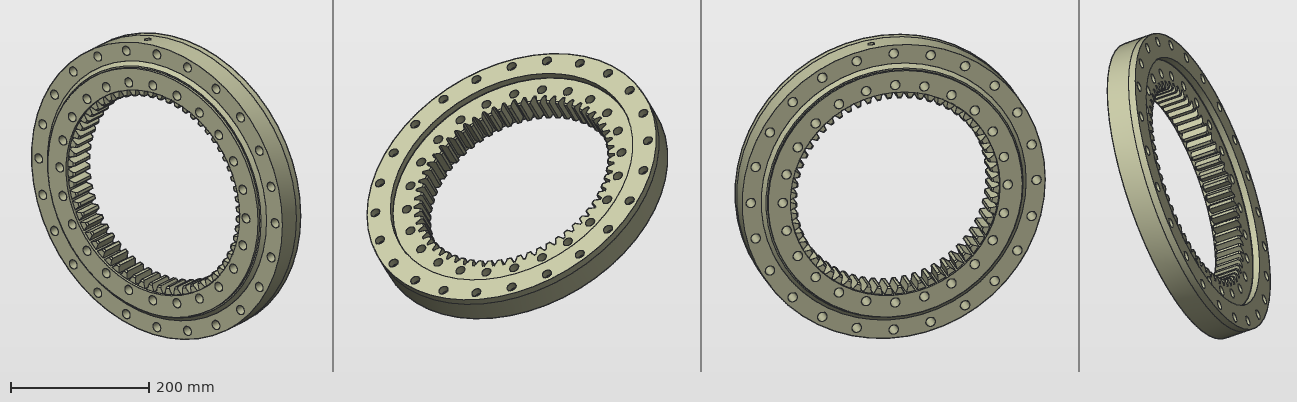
import cadquery as cq
import math


outer_diameter = 451.0
total_width = 55.0

ring_width = 45.0
rear_ring_width = 11.0
inner_ring_radius = 189.0

front_y = -total_width / 2
rear_y = total_width / 2
outer_front_y = rear_y - ring_width
inner_rear_y = front_y + ring_width
split_y = rear_y - rear_ring_width

hole_count = 24
hole_diameter = 14.0
outer_hole_circle = 425.0
inner_hole_circle = 334.5

grease_hole_diameter = 9.5
grease_hole_tilt = 360 / hole_count / 2

seal_height = 5.5
seal_base_radius = 197.0
seal_lip_radius = 191.0

tooth_count = 60
module = 5.0
pressure_angle = math.radians(20)
pitch_radius = 149.7
tip_radius = pitch_radius - module
root_radius = 156.0
base_radius = pitch_radius * math.cos(pressure_angle)
flank_point_count = 5
tooth_setback = 5.0
tip_chamfer = 2.3


def revolve_section(points):
    """Revolve a (radius, y) outline about the Y axis."""
    return cq.Workplane("XY").polyline(points).close().revolve(360, (0, 0), (0, 1))


def ring(inner_radius, outer_radius, start_y, end_y):
    section = [
        (inner_radius, start_y),
        (outer_radius, start_y),
        (outer_radius, end_y),
        (inner_radius, end_y),
    ]
    return revolve_section(section)


def plane_at(y):
    """Plane facing +Y whose local x is Z and whose local y is X."""
    return cq.Workplane(cq.Plane(origin=(0, y, 0), xDir=(0, 0, 1), normal=(0, 1, 0)))


def mounting_holes(circle_diameter):
    return (
        plane_at(front_y)
        .polarArray(circle_diameter / 2, 0, 360, hole_count)
        .circle(hole_diameter / 2)
        .extrude(total_width)
    )


def involute(angle):
    return math.tan(angle) - angle


def half_gap_angle(radius):
    """Half the angle that the gap between two teeth spans at a radius."""
    at_pitch = math.pi / (2 * tooth_count)
    return at_pitch + involute(pressure_angle) - involute(math.acos(base_radius / radius))


def polar(radius, angle):
    return (radius * math.cos(angle), radius * math.sin(angle))


def flank_points(center, side):
    """Involute flank from tip to root, on one side (-1 or 1) of a gap."""
    step = (root_radius - tip_radius) / (flank_point_count - 1)
    radii = [tip_radius + i * step for i in range(flank_point_count)]
    return [polar(r, center + side * half_gap_angle(r)) for r in radii]


def gear_bore():
    """Solid that leaves the toothed bore when it is cut away; one gap lies at +Z."""
    pitch = 2 * math.pi / tooth_count
    outline = plane_at(front_y).moveTo(*flank_points(0, -1)[0])
    for i in range(tooth_count):
        center = i * pitch
        rising = flank_points(center, -1)
        falling = flank_points(center, 1)[::-1]
        next_start = flank_points(center + pitch, -1)[0]
        outline = (
            outline.spline(rising[1:], includeCurrent=True)
            .threePointArc(polar(root_radius, center), falling[0])
            .spline(falling[1:], includeCurrent=True)
            .threePointArc(polar(tip_radius, center + pitch / 2), next_start)
        )
    return outline.close().extrude(total_width)


def make_front_ring():
    body = ring(inner_ring_radius, outer_diameter / 2, outer_front_y, split_y)
    grease_hole = (
        cq.Workplane("XY")
        .circle(grease_hole_diameter / 2)
        .extrude(outer_diameter)
        .rotate((0, 0, 0), (0, 1, 0), -grease_hole_tilt)
    )
    return body.cut(mounting_holes(outer_hole_circle)).cut(grease_hole)


def make_rear_ring():
    body = ring(inner_ring_radius, outer_diameter / 2, split_y, rear_y)
    return body.cut(mounting_holes(outer_hole_circle))


def make_inner_ring():
    tooth_front_y = front_y + tooth_setback
    section = [
        (root_radius, front_y),
        (inner_ring_radius, front_y),
        (inner_ring_radius, inner_rear_y),
        (tip_radius + tip_chamfer, inner_rear_y),
        (tip_radius, inner_rear_y - tip_chamfer),
        (tip_radius, tooth_front_y + tip_chamfer),
        (tip_radius + tip_chamfer, tooth_front_y),
        (root_radius, tooth_front_y),
    ]
    body = revolve_section(section)
    return body.cut(mounting_holes(inner_hole_circle)).cut(gear_bore())


def make_seal():
    """Ring with a conical face that covers the joint between the rings."""
    section = [
        (inner_ring_radius, outer_front_y),
        (seal_base_radius, outer_front_y),
        (seal_lip_radius, outer_front_y - seal_height),
        (inner_ring_radius, outer_front_y - seal_height),
    ]
    return revolve_section(section)


front_ring = make_front_ring()
rear_ring = make_rear_ring()
inner_ring = make_inner_ring()
seal = make_seal()

result = cq.Compound.makeCompound(
    [front_ring.val(), rear_ring.val(), inner_ring.val(), seal.val()]
)